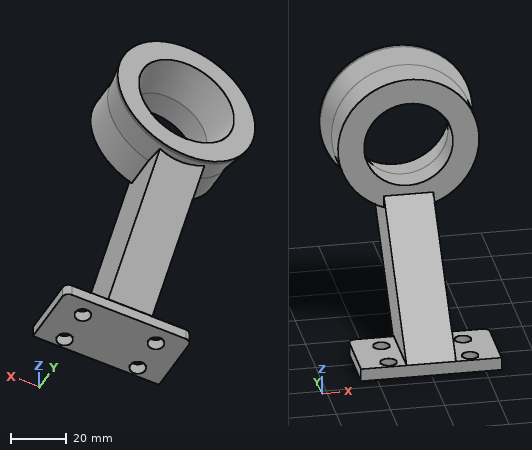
import cadquery as cq
import math

overall_depth = 69.5
overall_height = 100.4

plate_width = 52.0
plate_depth = 25.1
plate_thickness = 4.9
plate_corner_radius = 2.5

mount_hole_diameter = 6.0
mount_hole_spacing_x = 30.1
mount_hole_spacing_y = 14.0
mount_hole_front_offset = 4.0

rim_diameter = 56.6
barrel_diameter = 52.2
bore_diameter = 32.7
mouth_diameter = 39.1
ring_depth = 25.1
barrel_depth = 12.9
bore_depth = 10.0
rim_depth = 1.3
rim_land_depth = 0.6
rim_step = 0.1
flare_sag = 0.1

arm_width = 18.3
arm_angle = 46.8
arm_heel_overhang = 1.3
arm_heel_drop = 1.4
arm_ring_embed = 1.0

rim_radius = rim_diameter / 2
barrel_radius = barrel_diameter / 2
bore_radius = bore_diameter / 2
mouth_radius = mouth_diameter / 2
ring_center_z = overall_height - rim_radius
ring_front_y = overall_depth - ring_depth
flare_start_y = ring_front_y + barrel_depth
bore_end_y = ring_front_y + bore_depth
flare_end_y = overall_depth - rim_depth
flare_end_radius = rim_radius - rim_step
flare_mid_y = (flare_start_y + flare_end_y) / 2
flare_mid_radius = (barrel_radius + flare_end_radius) / 2 - flare_sag


def make_plate():
    """Foot plate with rounded rear corners and four through holes."""
    plate = cq.Workplane("XY").box(
        plate_width, plate_depth, plate_thickness, centered=(True, False, False)
    )
    plate = plate.edges("|Z and >Y").fillet(plate_corner_radius)
    holes_center_y = mount_hole_front_offset + mount_hole_spacing_y / 2
    holes = (
        cq.Workplane("XY")
        .center(0, holes_center_y)
        .rarray(mount_hole_spacing_x, mount_hole_spacing_y, 2, 2)
        .circle(mount_hole_diameter / 2)
        .extrude(plate_thickness)
    )
    return plate.cut(holes)


def make_arm():
    """Slanted arm from the front edge of the plate into the wall of the ring."""
    slope = math.tan(math.radians(arm_angle))
    heel_y = plate_depth + arm_heel_overhang
    heel_z = plate_thickness - arm_heel_drop
    under_end_z = ring_center_z - flare_mid_radius + arm_ring_embed
    under_end_y = heel_y + (under_end_z - heel_z) / slope
    top_end_z = plate_thickness + ring_front_y * slope
    profile = [
        (0, plate_thickness),
        (plate_depth, plate_thickness),
        (heel_y, heel_z),
        (under_end_y, under_end_z),
        (ring_front_y, top_end_z),
    ]
    return cq.Workplane("YZ").polyline(profile).close().extrude(arm_width / 2, both=True)


def make_ring():
    """Round barrel flaring to a rim, with a straight bore that opens conically to the rear."""
    profile = (
        cq.Workplane("XY")
        .moveTo(bore_radius, ring_front_y)
        .lineTo(barrel_radius, ring_front_y)
        .lineTo(barrel_radius, flare_start_y)
        .threePointArc((flare_mid_radius, flare_mid_y), (flare_end_radius, flare_end_y))
        .lineTo(rim_radius, overall_depth - rim_land_depth)
        .lineTo(rim_radius, overall_depth)
        .lineTo(mouth_radius, overall_depth)
        .lineTo(bore_radius, bore_end_y)
        .close()
    )
    ring = profile.revolve(360, (0, 0, 0), (0, 1, 0))
    return ring.translate((0, 0, ring_center_z))


result = make_plate().union(make_arm()).union(make_ring())